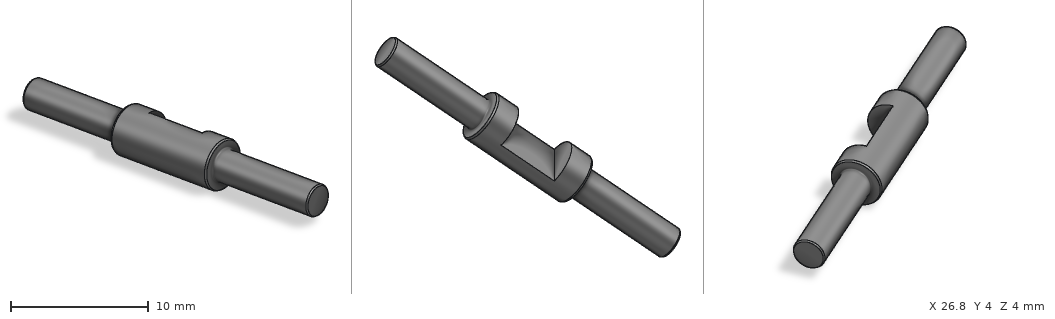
import cadquery as cq

total_length = 26.8
shaft_diameter = 2.5
body_diameter = 4.0
body_length = 9.0

shaft_chamfer_length = 0.13
shaft_chamfer_depth = 0.08
body_chamfer_length = 0.15
body_chamfer_depth = 0.08
root_fillet = 0.15

notch_length = 4.98

shaft_radius = shaft_diameter / 2
body_radius = body_diameter / 2
shaft_end = total_length / 2
body_end = body_length / 2


def make_half_pin():
    """Revolve the +X half: body with chamfered rim, filleted root, chamfered shaft."""
    profile = (
        cq.Workplane("XY")
        .lineTo(0, body_radius)
        .lineTo(body_end - body_chamfer_length, body_radius)
        .lineTo(body_end, body_radius - body_chamfer_depth)
        .lineTo(body_end, shaft_radius + root_fillet)
        .radiusArc((body_end + root_fillet, shaft_radius), -root_fillet)
        .lineTo(shaft_end - shaft_chamfer_length, shaft_radius)
        .lineTo(shaft_end, shaft_radius - shaft_chamfer_depth)
        .lineTo(shaft_end, 0)
        .close()
    )
    return profile.revolve(360, (0, 0, 0), (1, 0, 0))


def make_notch():
    return cq.Workplane("XY").box(
        notch_length, body_diameter, body_diameter, centered=(True, False, True)
    )


half_pin = make_half_pin()
pin = half_pin.union(half_pin.mirror("YZ")).clean()
result = pin.cut(make_notch())